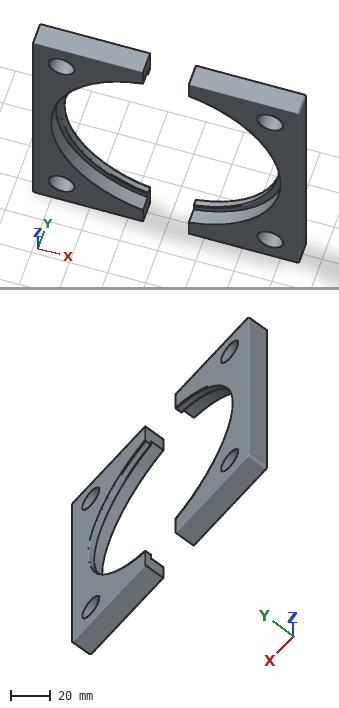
import cadquery as cq

plate_size = 140.0
thickness = 12.0
split_gap = 24.0
corner_radius = 1.5
edge_radius = 0.5

recess_diameter = 120.5
lip_diameter = 113.5
lip_thickness = 4.1

bolt_diameter = 13.5
bolt_spacing = 109.5

front_y = -thickness / 2
back_y = thickness / 2
lip_front_y = back_y - lip_thickness
half_width = (plate_size - split_gap) / 2
half_centre_x = (plate_size - half_width) / 2


def half_blank(side):
    """Half plate with rounded outer corners and rounded outer face edges, square at the split."""
    plate = cq.Workplane("XY").box(plate_size, thickness, plate_size)
    plate = plate.edges("|Y").fillet(corner_radius)
    plate = plate.faces("<Y or >Y").edges().fillet(edge_radius)
    half_space = cq.Workplane("XY").box(half_width, thickness, plate_size)
    return plate.intersect(half_space.translate((side * half_centre_x, 0, 0)))


def stepped_bore():
    """Bore volume: wide recess at the front, then a narrower lip with both rims rounded."""
    recess_radius = recess_diameter / 2
    lip_radius = lip_diameter / 2
    rim_radius = lip_radius + edge_radius
    return (
        cq.Workplane("XY")
        .moveTo(0, front_y)
        .lineTo(recess_radius, front_y)
        .lineTo(recess_radius, lip_front_y)
        .lineTo(rim_radius, lip_front_y)
        .radiusArc((lip_radius, lip_front_y + edge_radius), edge_radius)
        .lineTo(lip_radius, back_y - edge_radius)
        .radiusArc((rim_radius, back_y), edge_radius)
        .lineTo(0, back_y)
        .close()
        .revolve(360, (0, 0, 0), (0, 1, 0))
    )


def bolt_holes():
    """Four through-bolt cylinders on a square pattern."""
    return (
        cq.Workplane("XZ", origin=(0, back_y, 0))
        .rect(bolt_spacing, bolt_spacing, forConstruction=True)
        .vertices()
        .circle(bolt_diameter / 2)
        .extrude(thickness)
    )


def clamp_half(side):
    """One finished half; side is -1 for the -X half and +1 for the +X half."""
    return half_blank(side).cut(stepped_bore()).cut(bolt_holes())


clamp_halves = [clamp_half(side) for side in (-1, 1)]

result = cq.Compound.makeCompound([half.val() for half in clamp_halves])